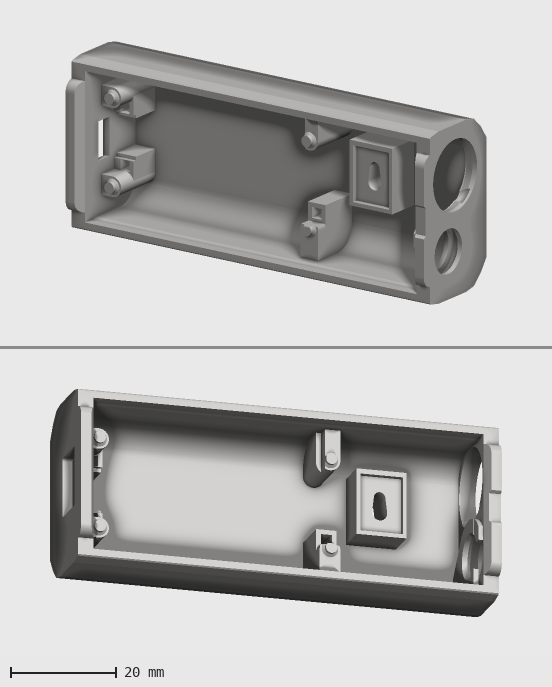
import cadquery as cq
import math

LENGTH = 83.0
DEPTH = 18.4
HALF_HEIGHT = 17.1
END_WALL = 3.1
BACK_WALL = 2.0
FLOOR_Y = DEPTH - BACK_WALL
INNER_X = LENGTH - END_WALL

HALF_SECTION = [
    (0, 16.35),
    (0.25, 16.6),
    (2.8, HALF_HEIGHT),
    (11.8, HALF_HEIGHT),
    (14.4, 16.6),
    (16.6, 14.5),
    (DEPTH, 11.95),
]

CAVITY_HALF = 14.85
MOUTH_HALF = 15.0
MOUTH_DEPTH = 2.65
MOUTH_SLOPE_END = 3.7
CAVITY_RADIUS = 5.0

LIP_HEIGHT = 2.0
LIP_HALF = 13.0
LIP_RADIUS = 2.15
LIP_TIP = 2.1
LIP_ROOT = 0.8
NOTCH_DEPTH = 0.6
NOTCH_Z = 0.2
NOTCH_HALF = 3.2
NOTCH_SLOPE = 0.5

PORT_Y = 6.2
PORT_RECESS = (8.05, 11.8)
PORT_RECESS_DEPTH = 2.0
PORT_RECESS_RADIUS = 0.6
PORT_WINDOW = (3.5, 7.8)

LARGE_Y = 8.2
LARGE_Z = 7.0
LARGE_DIAMETER = 14.4
LARGE_MOUTH_DIAMETER = 15.4
LARGE_MOUTH_DEPTH = 0.25
LARGE_TAPER_DEPTH = 2.0
RELIEF_DIAMETER = 3.8
RELIEF_DEPTH = 2.5
RELIEF_Y_OFFSET = 3.9
RELIEF_Z_OFFSET = 4.7

SMALL_Y = 6.0
SMALL_Z = -7.55
SMALL_DIAMETER = 9.0
SMALL_SEAT_DIAMETER = 12.0
SMALL_SEAT_DEPTH = 1.0
SMALL_RIM = 1.0
PLATE_THICKNESS = 1.1
PLATE_TANGENT_ANGLE = math.radians(40)
PLATE_DIAMETER = 14.4
PLATE_FRONT_Y = 3.0
FINGER_FRONT_Y = 0.25
FINGER_BOTTOM_Z = -6.0
FINGER_SET_BACK = 0.2

SUPPORT_WIDTH = 4.1
MIDDLE_SHELF_Y = 7.7
END_SHELF_Y = 9.5
END_FOOT_Y = 10.3
SEAT_Y = 5.3
PIN_Z = 8.84
PIN_DIAMETER = 2.2
PIN_BASE_DIAMETER = 3.2
PIN_BASE_HEIGHT = 0.4
PIN_HEIGHT = 1.1
END_PIN_X = 5.65
END_SHELF_WIDTH = 4.6
END_FOOT_Z = 3.8
END_SHELF_STEP_Z = 4.6
END_SOCKET_Z = 5.7
MIDDLE_X = 51.3
MIDDLE_SHELF_Z = -4.3
MIDDLE_SEAT_Z = -8.05
MIDDLE_SOCKET_Z = -6.3
MIDDLE_CUT_WIDTH = 1.0
SOCKET_SIZE = 2.15
SOCKET_END_SIZE = 1.7

KEY_X = 62.7
KEY_BLOCK = (9.9, 13.0)
KEY_BLOCK_Z = 2.6
KEY_BLOCK_Y = 9.4
KEY_RECESS = (8.4, 11.3)
KEY_RECESS_Z = 2.5
KEY_RECESS_DEPTH = 1.25
KEY_TOP_Z = 4.1
KEY_TOP_RADIUS = PIN_DIAMETER / 2
KEY_BOTTOM_Z = 1.1
KEY_BOTTOM_RADIUS = 1.5


def box(x0, x1, y0, y1, z0, z1):
    return cq.Workplane("XY").box(x1 - x0, y1 - y0, z1 - z0, centered=False).translate((x0, y0, z0))


def rod_x(y, z, diameter, x0, x1):
    """Round rod along X."""
    return cq.Workplane("YZ", origin=(x0, y, z)).circle(diameter / 2).extrude(x1 - x0)


def cone_x(y, z, start_diameter, end_diameter, x0, x1):
    """Cone frustum along X."""
    start = cq.Vector(x0, y, z)
    axis = cq.Vector(1, 0, 0)
    return cq.Workplane(cq.Solid.makeCone(start_diameter / 2, end_diameter / 2, x1 - x0, start, axis))


def mirrored_z(points):
    return points + [(y, -z) for y, z in reversed(points)]


def cavity():
    main = box(END_WALL, INNER_X, 0, FLOOR_Y, -CAVITY_HALF, CAVITY_HALF)
    main = main.edges("|X and >Y").fillet(CAVITY_RADIUS)
    half_mouth = [(0, MOUTH_HALF), (MOUTH_DEPTH, MOUTH_HALF), (MOUTH_SLOPE_END, CAVITY_HALF)]
    mouth = cq.Workplane("YZ", origin=(END_WALL, 0, 0)).polyline(mirrored_z(half_mouth)).close()
    return main.union(mouth.extrude(INNER_X - END_WALL))


def left_lip():
    block = box(0, END_WALL, -LIP_HEIGHT, LIP_HEIGHT, -LIP_HALF, LIP_HALF)
    block = block.edges("|X and <Y").fillet(LIP_RADIUS)
    side = [(0, -LIP_HEIGHT), (LIP_TIP, -LIP_HEIGHT), (END_WALL, 0), (END_WALL, LIP_ROOT), (0, LIP_ROOT)]
    profile = cq.Workplane("XY", origin=(0, 0, -LIP_HALF)).polyline(side).close()
    return block.intersect(profile.extrude(2 * LIP_HALF))


def lip_notch():
    tip_y = -LIP_HEIGHT
    floor_half = NOTCH_HALF - NOTCH_SLOPE
    half = [(tip_y, NOTCH_HALF), (tip_y + NOTCH_DEPTH, floor_half)]
    outline = cq.Workplane("YZ", origin=(INNER_X, 0, NOTCH_Z)).polyline(mirrored_z(half)).close()
    return outline.extrude(END_WALL)


def port():
    recess = cq.Workplane("YZ", origin=(0, PORT_Y, 0)).rect(*PORT_RECESS).extrude(PORT_RECESS_DEPTH)
    recess = recess.edges("|X").fillet(PORT_RECESS_RADIUS)
    window = cq.Workplane("YZ", origin=(0, PORT_Y, 0)).rect(*PORT_WINDOW).extrude(END_WALL)
    return recess.union(window)


def large_opening():
    mouth_x = INNER_X + LARGE_MOUTH_DEPTH
    taper_x = INNER_X + LARGE_TAPER_DEPTH
    mouth = rod_x(LARGE_Y, LARGE_Z, LARGE_MOUTH_DIAMETER, INNER_X, mouth_x)
    taper = cone_x(LARGE_Y, LARGE_Z, LARGE_MOUTH_DIAMETER, LARGE_DIAMETER, mouth_x, taper_x)
    opening = rod_x(LARGE_Y, LARGE_Z, LARGE_DIAMETER, INNER_X, LENGTH).union(mouth).union(taper)
    for side in (-1, 1):
        relief_y = LARGE_Y + side * RELIEF_Y_OFFSET
        relief_z = LARGE_Z - RELIEF_Z_OFFSET
        relief = rod_x(relief_y, relief_z, RELIEF_DIAMETER, INNER_X, INNER_X + RELIEF_DEPTH)
        opening = opening.union(relief)
    return opening


def ring_plate():
    """Plate around the small opening: it runs to the floor and lower wall, with a finger in front.

    A flat across the corner leaves a gap at the rounded edge of the cavity.
    """
    x0 = INNER_X - PLATE_THICKNESS
    disc = rod_x(SMALL_Y, SMALL_Z, PLATE_DIAMETER, x0, INNER_X)
    tangent_y = SMALL_Y + PLATE_DIAMETER / 2 * math.cos(PLATE_TANGENT_ANGLE)
    tangent_z = SMALL_Z + PLATE_DIAMETER / 2 * math.sin(PLATE_TANGENT_ANGLE)
    corner = [
        (tangent_y, tangent_z),
        (FLOOR_Y, tangent_z - (FLOOR_Y - tangent_y) / math.tan(PLATE_TANGENT_ANGLE)),
        (FLOOR_Y, CAVITY_RADIUS - CAVITY_HALF),
        (FLOOR_Y - CAVITY_RADIUS, -CAVITY_HALF),
        (FLOOR_Y - CAVITY_RADIUS, -HALF_HEIGHT),
        (PLATE_FRONT_Y, -HALF_HEIGHT),
        (PLATE_FRONT_Y, SMALL_Z),
        (SMALL_Y, SMALL_Z),
    ]
    skirt = cq.Workplane("YZ", origin=(x0, 0, 0)).polyline(corner).close().extrude(PLATE_THICKNESS)
    finger_tip = box(x0, INNER_X, -DEPTH, FINGER_FRONT_Y, -HALF_HEIGHT, HALF_HEIGHT)
    below_finger = box(x0, INNER_X, -DEPTH, PLATE_FRONT_Y, -HALF_HEIGHT, FINGER_BOTTOM_Z)
    finger_face = box(x0, x0 + FINGER_SET_BACK, -DEPTH, PLATE_FRONT_Y, -HALF_HEIGHT, HALF_HEIGHT)
    return disc.union(skirt).cut(finger_tip).cut(below_finger).cut(finger_face)


def small_opening():
    """Round opening with a conical seat on its inner side."""
    seat_x = INNER_X + SMALL_SEAT_DEPTH
    rim_x = LENGTH - SMALL_RIM
    bore = rod_x(SMALL_Y, SMALL_Z, SMALL_DIAMETER, INNER_X - PLATE_THICKNESS, LENGTH)
    seat = rod_x(SMALL_Y, SMALL_Z, SMALL_SEAT_DIAMETER, INNER_X, seat_x)
    cone = cone_x(SMALL_Y, SMALL_Z, SMALL_SEAT_DIAMETER, SMALL_DIAMETER, seat_x, rim_x)
    return bore.union(seat).union(cone)


def pin(x, z):
    """Round pin with a conical base, standing on a seat."""
    base = cq.Solid.makeCone(
        PIN_BASE_DIAMETER / 2,
        PIN_DIAMETER / 2,
        PIN_BASE_HEIGHT,
        cq.Vector(x, SEAT_Y, z),
        cq.Vector(0, -1, 0),
    )
    shaft = cq.Workplane("XZ", origin=(x, SEAT_Y, z)).circle(PIN_DIAMETER / 2).extrude(PIN_HEIGHT)
    return shaft.union(cq.Workplane(base))


def boss(x, z):
    """Round end of a seat, from the back face up to the seat face."""
    rod = cq.Workplane("XZ", origin=(x, DEPTH, z)).circle(SUPPORT_WIDTH / 2)
    return rod.extrude(DEPTH - SEAT_Y)


def socket(x, z, shelf_y):
    """Square hole that narrows from the shelf to the back face."""
    hole = cq.Workplane("XZ", origin=(x, shelf_y, z)).rect(SOCKET_SIZE, SOCKET_SIZE)
    hole = hole.workplane(offset=shelf_y - DEPTH).rect(SOCKET_END_SIZE, SOCKET_END_SIZE)
    return hole.loft(combine=True)


def end_support():
    """Upper support at the left end wall."""
    half = SUPPORT_WIDTH / 2
    x1 = END_WALL + END_SHELF_WIDTH
    seat = box(0, END_PIN_X, SEAT_Y, DEPTH, PIN_Z - half, PIN_Z + half).union(boss(END_PIN_X, PIN_Z))
    seat = seat.cut(box(0, PORT_RECESS_DEPTH, 0, DEPTH, 0, HALF_HEIGHT))
    shelf = box(PORT_RECESS_DEPTH, x1, END_SHELF_Y, DEPTH, END_SHELF_STEP_Z, PIN_Z)
    foot = box(PORT_RECESS_DEPTH, x1, END_FOOT_Y, DEPTH, END_FOOT_Z, END_SHELF_STEP_Z)
    return seat.union(shelf).union(foot).union(pin(END_PIN_X, PIN_Z))


def middle_supports():
    half = SUPPORT_WIDTH / 2
    x0 = MIDDLE_X - half
    x1 = MIDDLE_X + half
    upper = box(x0, x1, SEAT_Y, DEPTH, PIN_Z, MOUTH_HALF).union(boss(MIDDLE_X, PIN_Z))
    upper = upper.union(pin(MIDDLE_X, PIN_Z))
    upper = upper.cut(box(x0, x0 + MIDDLE_CUT_WIDTH, 0, MIDDLE_SHELF_Y, 0, MOUTH_HALF))
    lower = box(x0, x1, SEAT_Y, DEPTH, -MOUTH_HALF, -PIN_Z).union(boss(MIDDLE_X, -PIN_Z))
    lower = lower.union(pin(MIDDLE_X, -PIN_Z))
    lower = lower.cut(box(x0, x1, 0, MIDDLE_SHELF_Y, MIDDLE_SEAT_Z, 0))
    shelf = box(x0, x1, MIDDLE_SHELF_Y, DEPTH, -PIN_Z, MIDDLE_SHELF_Z)
    return upper.union(lower).union(shelf)


def key_block():
    face = cq.Workplane("XZ", origin=(KEY_X, FLOOR_Y, KEY_BLOCK_Z)).rect(*KEY_BLOCK)
    block = face.extrude(FLOOR_Y - KEY_BLOCK_Y)
    recess = cq.Workplane("XZ", origin=(KEY_X, KEY_BLOCK_Y, KEY_RECESS_Z)).rect(*KEY_RECESS)
    return block.cut(recess.extrude(-KEY_RECESS_DEPTH))


def keyhole():
    """Two circles of different size joined by their common tangents."""
    lean = math.asin((KEY_BOTTOM_RADIUS - KEY_TOP_RADIUS) / (KEY_TOP_Z - KEY_BOTTOM_Z))
    side = math.cos(lean)
    rise = math.sin(lean)
    top_x = KEY_TOP_RADIUS * side
    top_z = KEY_TOP_Z + KEY_TOP_RADIUS * rise
    bottom_x = KEY_BOTTOM_RADIUS * side
    bottom_z = KEY_BOTTOM_Z + KEY_BOTTOM_RADIUS * rise
    outline = (
        cq.Workplane("XZ", origin=(KEY_X, DEPTH, 0))
        .moveTo(top_x, top_z)
        .threePointArc((0, KEY_TOP_Z + KEY_TOP_RADIUS), (-top_x, top_z))
        .lineTo(-bottom_x, bottom_z)
        .threePointArc((0, KEY_BOTTOM_Z - KEY_BOTTOM_RADIUS), (bottom_x, bottom_z))
        .close()
    )
    return outline.extrude(DEPTH - KEY_BLOCK_Y)


envelope = cq.Workplane("YZ").polyline(mirrored_z(HALF_SECTION)).close().extrude(LENGTH)

support = end_support()
inner_parts = support.union(support.mirror("XY")).union(middle_supports()).union(key_block())
inner_parts = inner_parts.union(ring_plate()).intersect(envelope)

lip = left_lip()
right_lip = lip.mirror("YZ").translate((LENGTH, 0, 0)).cut(lip_notch())

result = envelope.cut(cavity()).union(inner_parts).union(lip).union(right_lip)
result = result.cut(port()).cut(large_opening()).cut(small_opening()).cut(keyhole())
for socket_z in (END_SOCKET_Z, -END_SOCKET_Z):
    result = result.cut(socket(END_PIN_X, socket_z, END_SHELF_Y))
result = result.cut(socket(MIDDLE_X, MIDDLE_SOCKET_Z, MIDDLE_SHELF_Y))